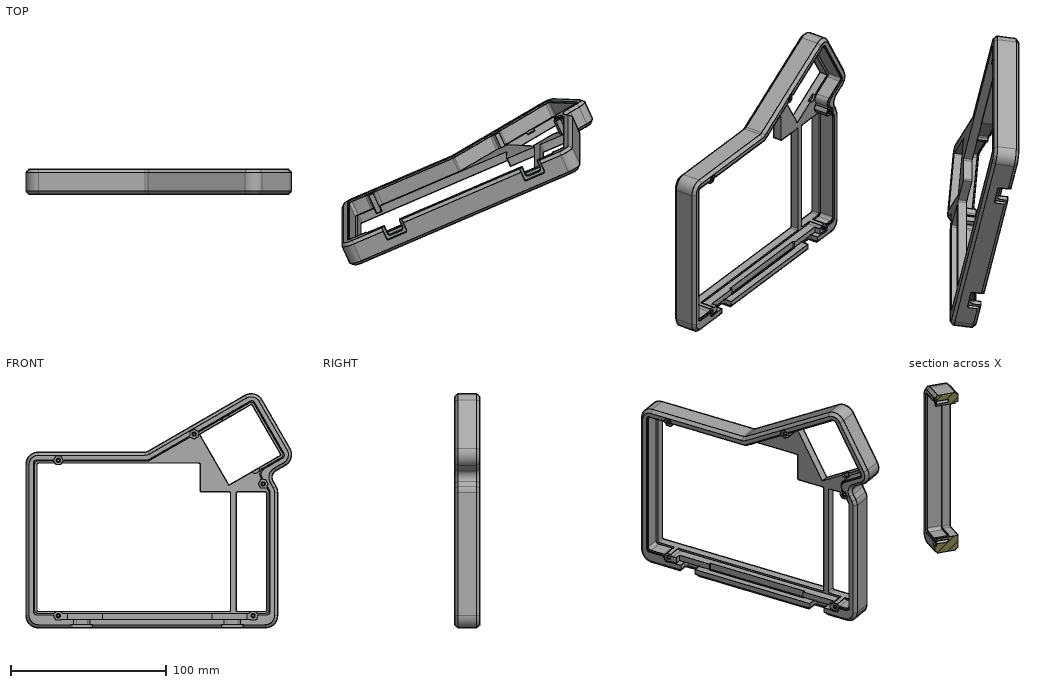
import cadquery as cq
import math

depth = 16.3
body_width = 162.5
body_height = 113.5
total_width = 171.3
total_height = 151.1
corner_radius = 8.0
bend_radius = 3.5
neck_radius = 5.0
edge_chamfer = 2.0

tilt = 30.0
ridge_start_x = 77.8
neck_foot_z = 89.5

wall = 5.7
rebate = 0.7
rebate_depth = 1.0
plate_thickness = 5.7
plate_front = depth - plate_thickness
sill_height = 9.5
sill_rebate = 1.0
cavity_radius = 2.0
cavity_neck_radius = 4.1

window_margin = 7.2
window_bottom = 10.6
window_radius = 0.9
head_window_length = 38.7
gusset_x = 112.4
gusset_z = 87.7
mullion_left = 132.0
mullion_width = 3.8

recess_radius = 2.9
recess_offset = 0.7
recess_depth = 1.7

boss_apothem = 2.7
boss_front = rebate_depth
boss_fillet = 1.7
screw_radius = 0.9
screw_countersink = 0.5
screw_depth = 8.5
lower_boss_z = 7.9
lower_boss_left_x = 20.9
lower_boss_right_x = 146.5
ridge_boss_distance = 32.4
neck_boss_x = 153.0
neck_boss_z = 92.9
neck_boss_fillet = 0.5
boss_overlap = 0.3

slot_middle_x = 84.6
slot_length = 128.5
slot_floor = 5.5
bar_length = 115.7
bar_middle_length = 70.6
bar_front = 5.0
bar_middle_front = 6.3
groove_floor = 5.0

notch_spacing = 97.1
notch_width = 10.6
notch_depth = 6.9
notch_radius = 1.7
notch_foot_width = 14.0
notch_foot_depth = 8.5
notch_foot_height = 2.2
notch_foot_radius = 1.0

cos_tilt = math.cos(math.radians(tilt))
sin_tilt = math.sin(math.radians(tilt))
ridge_direction = cq.Vector(cos_tilt, sin_tilt)
end_direction = cq.Vector(sin_tilt, -cos_tilt)


def meet(point_a, direction_a, point_b, direction_b):
    """Point where two straight lines in the XZ plane cross."""
    gap = point_b - point_a
    cross = direction_a.x * direction_b.y - direction_a.y * direction_b.x
    distance = (gap.x * direction_b.y - gap.y * direction_b.x) / cross
    return point_a + direction_a * distance


def prism(wire_points, front, back):
    """Solid with the given XZ outline between two depths."""
    points = [(p.x, p.y) for p in wire_points]
    return cq.Workplane("XZ", origin=(0, front, 0)).polyline(points).close().extrude(front - back)


def block(x_min, x_max, front, back, z_min, z_max):
    size = (x_max - x_min, back - front, z_max - z_min)
    return cq.Workplane("XY").box(*size, centered=False).translate((x_min, front, z_min))


def centred_block(middle, length, front, back, z_min, z_max):
    return block(middle - length / 2, middle + length / 2, front, back, z_min, z_max)


def round_corner(solid, corner, radius):
    """Round the Y-direction edge that stands at one corner of an XZ outline."""
    reach = 0.09
    low = (corner.x - reach, -1.7, corner.y - reach)
    high = (corner.x + reach, depth + 1.7, corner.y + reach)
    return solid.edges(cq.selectors.BoxSelector(low, high, boundingbox=False)).fillet(radius)


ridge_start = cq.Vector(ridge_start_x, body_height)
top_centre_z = total_height - corner_radius
top_centre_x = ridge_start_x + (corner_radius + cos_tilt * (top_centre_z - body_height)) / sin_tilt
top_centre = cq.Vector(top_centre_x, top_centre_z)
head_width = (total_width - corner_radius - top_centre_x) / sin_tilt + 2 * corner_radius
head_top = top_centre + (ridge_direction - end_direction) * corner_radius
head_right = head_top + end_direction * head_width
neck_foot = cq.Vector(body_width, neck_foot_z)


def frame_points(inset, bottom):
    """Corners of the frame outline moved inward by an inset, with its own bottom height."""
    across = cq.Vector(1, 0)
    upright = cq.Vector(0, 1)
    top = cq.Vector(0, body_height - inset)
    ridge = ridge_start + end_direction * inset
    head_end = head_top - ridge_direction * inset
    underside = head_right - end_direction * inset
    neck_side = neck_foot - ridge_direction * inset
    right = cq.Vector(body_width - inset, 0)
    return [
        cq.Vector(inset, bottom),
        cq.Vector(inset, top.y),
        meet(top, across, ridge, ridge_direction),
        meet(ridge, ridge_direction, head_end, end_direction),
        meet(head_end, end_direction, underside, ridge_direction),
        meet(underside, ridge_direction, neck_side, end_direction),
        meet(neck_side, end_direction, right, upright),
        cq.Vector(right.x, bottom),
    ]


bend_index = 2
neck_index = 5

boss_depth_in_wall = wall - boss_overlap
ridge_boss = ridge_start + ridge_direction * ridge_boss_distance + end_direction * boss_depth_in_wall
bosses = [
    (lower_boss_left_x, body_height - boss_depth_in_wall, 0, boss_fillet),
    (ridge_boss.x, ridge_boss.y, tilt, boss_fillet),
    (neck_boss_x, neck_boss_z, 0, neck_boss_fillet),
    (lower_boss_left_x, lower_boss_z, 0, boss_fillet),
    (lower_boss_right_x, lower_boss_z, 0, boss_fillet),
]


def make_body():
    points = frame_points(0, 0)
    radii = [corner_radius] * len(points)
    radii[bend_index] = bend_radius
    radii[neck_index] = neck_radius
    body = prism(points, 0, depth)
    for point, radius in zip(points, radii):
        body = round_corner(body, point, radius)
    return body.faces("<Y or >Y").chamfer(edge_chamfer)


def make_cavity(inset, bottom, back):
    points = frame_points(inset, bottom)
    radii = [cavity_radius] * len(points)
    radii[neck_index] = cavity_neck_radius
    cavity = prism(points, 0, back)
    for point, radius in zip(points, radii):
        cavity = round_corner(cavity, point, radius)
    return cavity


def make_hexagons(front, back):
    hexagons = cq.Workplane("XZ")
    diameter = 2 * boss_apothem / math.cos(math.pi / 6)
    for x, z, turn, _ in bosses:
        plane = cq.Workplane("XZ", origin=(x, front, z)).transformed(rotate=(0, 0, turn))
        hexagons = hexagons.add(plane.polygon(6, diameter).extrude(front - back))
    return hexagons.combine()


def leave_bosses(cavity):
    """Take the bosses out of the cavity, with a fillet where each one meets the wall."""
    touch = 0.002
    boss_reach = 1.2 * boss_apothem
    wall_faces = cavity.faces("#Y").vals()
    carved = cavity.cut(make_hexagons(boss_front, plate_front))

    def meets_wall(edge):
        return any(face.distance(edge) < touch for face in wall_faces)

    for x, z, _, radius in bosses:
        low = (x - boss_reach, boss_front, z - boss_reach)
        high = (x + boss_reach, plate_front, z + boss_reach)
        nearby = carved.edges("|Y").edges(cq.selectors.BoxSelector(low, high))
        carved = nearby.filter(meets_wall).fillet(radius)
    return carved


def make_screw_holes():
    plane = cq.Workplane("XZ", origin=(0, boss_front, 0))
    plane = plane.pushPoints([(x, z) for x, z, _, _ in bosses])
    holes = plane.circle(screw_radius).extrude(-screw_depth)
    mouths = plane.circle(screw_radius + screw_countersink).extrude(-screw_countersink, taper=45)
    return holes.union(mouths)


def make_windows():
    right = body_width - window_margin
    top = body_height - window_margin
    main_points = [
        cq.Vector(window_margin, window_bottom),
        cq.Vector(window_margin, top),
        cq.Vector(gusset_x, top),
        cq.Vector(gusset_x, gusset_z),
        cq.Vector(mullion_left, gusset_z),
        cq.Vector(mullion_left, window_bottom),
    ]
    main = prism(main_points, 0, depth).edges("|Y").fillet(window_radius)
    side = block(mullion_left + mullion_width, right, 0, depth, window_bottom, gusset_z)
    return main.union(side.edges("|Y").fillet(window_radius))


head_window_size = head_width - 2 * window_margin
head_window_top = head_top + (end_direction - ridge_direction) * window_margin
head_window_right = head_window_top + end_direction * head_window_size


def make_head_window():
    back = ridge_direction * head_window_length
    points = [head_window_top, head_window_right, head_window_right - back, head_window_top - back]
    return prism(points, 0, depth)


def make_recesses():
    """Half-round pockets in the plate at the middle of two opposite window sides."""
    middle = ridge_direction * (head_window_size / 2)
    upper = head_window_top - middle + end_direction * recess_offset
    lower = head_window_right - middle - end_direction * recess_offset
    plane = cq.Workplane("XZ", origin=(0, plate_front, 0))
    plane = plane.pushPoints([(p.x, p.y) for p in (upper, lower)])
    return plane.circle(recess_radius).extrude(-recess_depth)


def make_slot():
    """Space cut from the bottom wall around the stepped bar and the lower bosses."""
    middle_x = slot_middle_x
    middle_length = bar_middle_length
    ends = centred_block(middle_x, slot_length, 0, boss_front, slot_floor, sill_height)
    bar = centred_block(middle_x, bar_length, 0, bar_front, slot_floor, sill_height)
    middle = centred_block(middle_x, middle_length, 0, bar_middle_front, slot_floor, sill_height)
    groove = centred_block(middle_x, middle_length, bar_front, bar_middle_front, groove_floor, sill_height)
    return ends.union(bar).union(middle).union(groove)


def make_notch(middle):
    mouth = centred_block(middle, notch_width, 0, notch_depth, 0, slot_floor)
    foot = centred_block(middle, notch_foot_width, 0, notch_foot_depth, 0, notch_foot_height)
    mouth = mouth.edges("|Z and >Y").fillet(notch_radius)
    return mouth.union(foot.edges("|Z and >Y").fillet(notch_foot_radius))


result = make_body()
result = result.cut(leave_bosses(make_cavity(wall, sill_height, plate_front)))
result = result.cut(make_cavity(wall - rebate, sill_height - sill_rebate, rebate_depth))
result = result.cut(make_hexagons(0, boss_front))
result = result.cut(make_slot())
result = result.cut(make_windows()).cut(make_head_window()).cut(make_recesses())
result = result.union(make_hexagons(boss_front, depth - edge_chamfer))
result = result.cut(make_screw_holes())
for side in (-1, 1):
    result = result.cut(make_notch(slot_middle_x + side * notch_spacing / 2))